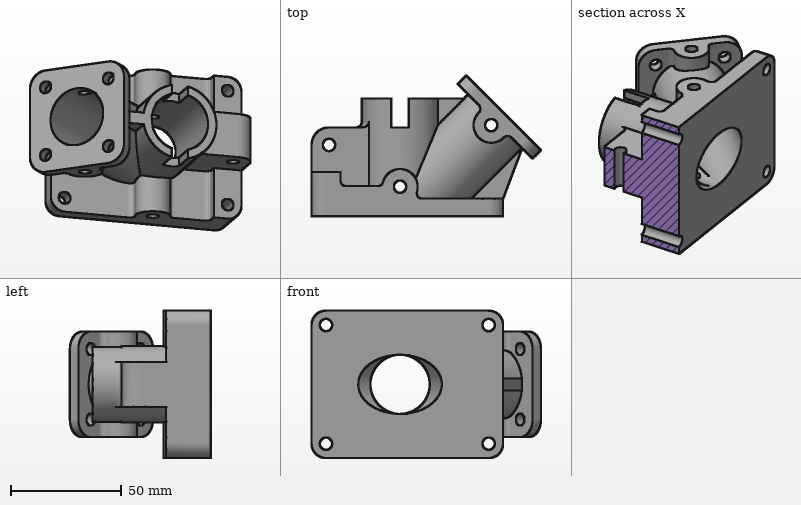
import cadquery as cq
import math


SCREW_DIAMETER = 5.5
BOSS_RADIUS = 8.0
BLEND_RADIUS = 2.5

BORE_DIAMETER = 26.84
PIPE_WALL = 4.0
PIPE_RADIUS = BORE_DIAMETER / 2 + PIPE_WALL
PIPE_LENGTH = 53.6
BRANCH_ANGLE = 45.0
SLOT_WIDTH = 7.8

HOLE_PITCH_X = 73.84
HOLE_PITCH_Z = 53.84
BASE_CORNER_RADIUS = 6.6
BASE_WIDTH = HOLE_PITCH_X + 2 * BASE_CORNER_RADIUS
BASE_HEIGHT = HOLE_PITCH_Z + 2 * BASE_CORNER_RADIUS
BASE_LEFT = -40.22
BASE_RIGHT = BASE_LEFT + BASE_WIDTH
BASE_THICKNESS = 8.0
BASE_BOSS_Y = BASE_THICKNESS + SCREW_DIAMETER
LEDGE_Y = 13.7
END_BLOCK_Y = 20.2
END_BLOCK_WIDTH = 2 * BASE_CORNER_RADIUS

LUG_Y = 40.4
LUG_HEIGHT = 20.4
LUG_HOLE_X = BASE_LEFT + BOSS_RADIUS
LUG_HOLE_Y = LUG_Y - BOSS_RADIUS

FLANGE_PITCH = 32.0
FLANGE_CORNER_RADIUS = 8.0
FLANGE_SIZE = FLANGE_PITCH + 2 * FLANGE_CORNER_RADIUS
FLANGE_FACE = 66.51
FLANGE_THICKNESS = 5.5
FLANGE_BACK = FLANGE_FACE - FLANGE_THICKNESS
FLANGE_BOSS_Y = FLANGE_FACE - BOSS_RADIUS

WEB_THICKNESS = 5.5

THROUGH = 100.0


def slab(x_min, x_max, y_min, y_max, height):
    """Box centred on Z = 0."""
    return (
        cq.Workplane("XY")
        .box(x_max - x_min, y_max - y_min, height, centered=(False, False, True))
        .translate((x_min, y_min, 0))
    )


def rod_z(x, y, radius, height):
    """Cylinder along Z, centred on Z = 0."""
    return cq.Workplane("XY").center(x, y).circle(radius).extrude(height / 2, both=True)


def rod_y(x, z, radius, y_min, y_max):
    """Cylinder along Y."""
    start = cq.Workplane("XZ", origin=(x, y_min, z))
    return start.circle(radius).extrude(y_min - y_max)


def rounded_prism(x_min, x_max, height, corner_radius, y_min, y_max):
    """Prism along Y whose four long edges are rounded."""
    return slab(x_min, x_max, y_min, y_max, height).edges("|Y").fillet(corner_radius)


def corner_holes(x_center, pitch_x, pitch_z, y_min, y_max):
    """Four screw holes along Y on a rectangular pattern."""
    holes = cq.Workplane("XY")
    for x_side in (-1, 1):
        for z_side in (-1, 1):
            x = x_center + x_side * pitch_x / 2
            z = z_side * pitch_z / 2
            holes = holes.add(rod_y(x, z, SCREW_DIAMETER / 2, y_min, y_max))
    return holes.combine()


def turn_to_branch(shape):
    """Turn a shape built along +Y so that it lies along the branch axis."""
    return shape.rotate((0, 0, 0), (0, 0, 1), -BRANCH_ANGLE)


def branch_point(side, along):
    """Point beside the branch axis, positive side towards the straight pipe."""
    angle = math.radians(BRANCH_ANGLE)
    x = along * math.sin(angle) - side * math.cos(angle)
    y = along * math.cos(angle) + side * math.sin(angle)
    return (x, y)


def blend(shape, x, y):
    """Round the inside corner edges along Z that lie close to a point."""
    reach = 0.2
    near = cq.selectors.BoxSelector(
        (x - reach, y - reach, -THROUGH), (x + reach, y + reach, THROUGH)
    )
    return shape.edges("|Z").edges(near).fillet(BLEND_RADIUS)


def boss_crossing(boss_y, level_y):
    """Distance from the boss axis at which a level face meets the boss."""
    return math.sqrt(BOSS_RADIUS**2 - (level_y - boss_y) ** 2)


def make_base():
    block_right = BASE_LEFT + END_BLOCK_WIDTH
    base = slab(BASE_LEFT, BASE_RIGHT, 0, BASE_THICKNESS, BASE_HEIGHT)
    base = base.union(slab(BASE_LEFT, 0, 0, LEDGE_Y, BASE_HEIGHT))
    base = base.union(slab(BASE_LEFT, block_right, 0, END_BLOCK_Y, BASE_HEIGHT))
    base = base.union(rod_z(0, BASE_BOSS_Y, BOSS_RADIUS, BASE_HEIGHT)).clean()
    base = blend(base, block_right, LEDGE_Y)
    base = blend(base, -boss_crossing(BASE_BOSS_Y, LEDGE_Y), LEDGE_Y)
    base = blend(base, boss_crossing(BASE_BOSS_Y, BASE_THICKNESS), BASE_THICKNESS)
    outline = rounded_prism(
        BASE_LEFT, BASE_RIGHT, BASE_HEIGHT, BASE_CORNER_RADIUS, 0, THROUGH
    )
    return base.intersect(outline)


def make_flange():
    """Square flange with a boss across its back, built along +Y."""
    half = FLANGE_SIZE / 2
    flange = slab(-half, half, FLANGE_BACK, FLANGE_FACE, FLANGE_SIZE)
    flange = flange.union(rod_z(0, FLANGE_BOSS_Y, BOSS_RADIUS, FLANGE_SIZE))
    crossing = boss_crossing(FLANGE_BOSS_Y, FLANGE_BACK)
    for side in (-1, 1):
        flange = blend(flange, side * crossing, FLANGE_BACK)
    outline = rounded_prism(
        -half, half, FLANGE_SIZE, FLANGE_CORNER_RADIUS, 0, FLANGE_FACE
    )
    holes = corner_holes(0, FLANGE_PITCH, FLANGE_PITCH, FLANGE_BACK, FLANGE_FACE)
    return flange.intersect(outline).cut(holes)


def make_pipe_with_lug():
    pipe = rod_y(0, 0, PIPE_RADIUS, 0, PIPE_LENGTH)
    lug = slab(BASE_LEFT, 0, 0, LUG_Y, LUG_HEIGHT)
    lug = lug.edges("|Z and <X and >Y").fillet(BOSS_RADIUS)
    body = pipe.union(lug)
    reach = 0.1
    meeting_arc = cq.selectors.BoxSelector(
        (-PIPE_RADIUS - reach, LUG_Y - reach, -LUG_HEIGHT),
        (0, LUG_Y + reach, LUG_HEIGHT),
    )
    return body.edges(meeting_arc).fillet(BLEND_RADIUS)


def make_branch_pipe():
    pipe = turn_to_branch(rod_y(0, 0, PIPE_RADIUS, -THROUGH, FLANGE_BACK))
    behind_front_face = slab(-THROUGH, THROUGH, 0, THROUGH, 2 * THROUGH)
    return pipe.intersect(behind_front_face)


def make_web():
    flange_corner = branch_point(-PIPE_RADIUS, FLANGE_BACK)
    angle = math.radians(BRANCH_ANGLE)
    along = (PIPE_LENGTH - PIPE_RADIUS * math.sin(angle)) / math.cos(angle)
    end_on_branch = branch_point(PIPE_RADIUS, along)
    return (
        cq.Workplane("XY")
        .polyline(
            [
                (0, BASE_THICKNESS),
                (BASE_RIGHT, BASE_THICKNESS),
                flange_corner,
                branch_point(0, FLANGE_BACK),
                end_on_branch,
                (0, PIPE_LENGTH),
            ]
        )
        .close()
        .extrude(WEB_THICKNESS / 2, both=True)
    )


def cut_bores(body):
    bore_radius = BORE_DIAMETER / 2
    straight = rod_y(0, 0, bore_radius, -THROUGH, THROUGH)
    branch = turn_to_branch(rod_y(0, 0, bore_radius, -THROUGH, THROUGH))
    return body.cut(straight).cut(branch)


def cut_slot(body):
    half = SLOT_WIDTH / 2
    return body.cut(slab(-half, half, LUG_Y, PIPE_LENGTH, 2 * PIPE_RADIUS))


def cut_screw_holes(body):
    base_center_x = (BASE_LEFT + BASE_RIGHT) / 2
    body = body.cut(
        corner_holes(base_center_x, HOLE_PITCH_X, HOLE_PITCH_Z, 0, END_BLOCK_Y)
    )
    cross_holes = [
        (0, BASE_BOSS_Y),
        (LUG_HOLE_X, LUG_HOLE_Y),
        branch_point(0, FLANGE_BOSS_Y),
    ]
    for x, y in cross_holes:
        body = body.cut(rod_z(x, y, SCREW_DIAMETER / 2, 2 * THROUGH))
    return body


result = make_pipe_with_lug()
result = result.union(make_base())
result = result.union(make_branch_pipe())
result = result.union(turn_to_branch(make_flange()))
result = result.union(make_web())
result = cut_bores(result)
result = cut_slot(result)
result = cut_screw_holes(result)